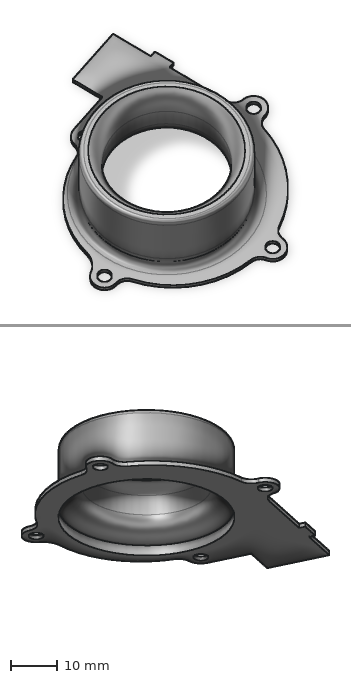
import cadquery as cq
import math

TOTAL_HEIGHT = 17.0
PLATE_THICKNESS = 1.0

VOLUTE_OFFSET = 0.95
VOLUTE_START_RADIUS = 22.6

DUCT_END_X = -34.15
DUCT_BOTTOM_Y = 12.5
TAB_LEFT_X = -24.1
TAB_WIDTH = 5.0
TAB_HEIGHT = 1.5

LUG_CENTER = (1.9, 1.9)
LUG_SPACING_X = 49.95
LUG_SPACING_Y = 54.9
LUG_RADIUS = 3.15
LUG_BLEND_RADIUS = 3.0
BOTTOM_LUG_BLEND_RADIUS = 5.0
TOUCH_TOLERANCE = 0.005
SCREW_HOLE_DIAMETER = 3.2
SCREW_HEAD_CLEARANCE_HEIGHT = 2.6

COLLAR_RADIUS = 38.0 / 2
COLLAR_BASE_FILLET = 2.5
THROAT_RADIUS = 28.0 / 2
FLARE_DEPTH = 5.0
LEDGE_ROUND = 5.0
RIM_ROUND = 1.0
RIM_FLAT = 1.0
INLET_LEDGE_Z = 2.4

lug_x, lug_y = LUG_CENTER
left_lug = (lug_x - LUG_SPACING_X / 2, lug_y)
lug_points = [
    left_lug,
    (lug_x + LUG_SPACING_X / 2, lug_y),
    (lug_x, lug_y - LUG_SPACING_Y / 2),
    (lug_x, lug_y + LUG_SPACING_Y / 2),
]


def on_circle(center, radius, degrees):
    angle = math.radians(degrees)
    return (center[0] + radius * math.cos(angle), center[1] + radius * math.sin(angle))


def make_plate():
    """Flat volute plate with its outlet duct, tab and blended lugs."""
    offset = VOLUTE_OFFSET
    centers = [(offset, -offset), (offset, offset), (-offset, offset)]
    radii = [VOLUTE_START_RADIUS + 2 * offset * turn for turn in range(3)]
    duct_top_y = centers[2][1] + radii[2]
    side_x = left_lug[0] - LUG_RADIUS

    start_angle = 180 - math.degrees(math.asin((lug_y - centers[0][1]) / radii[0]))
    end_angle = math.degrees(math.acos((lug_x - centers[2][0]) / radii[2]))
    outline = (
        cq.Workplane("XY")
        .moveTo(*on_circle(centers[0], radii[0], start_angle))
        .threePointArc(on_circle(centers[0], radii[0], 225), on_circle(centers[0], radii[0], 270))
        .threePointArc(on_circle(centers[1], radii[1], 315), on_circle(centers[1], radii[1], 360))
        .threePointArc(on_circle(centers[2], radii[2], 45), on_circle(centers[2], radii[2], end_angle))
        .lineTo(lug_x, duct_top_y)
        .lineTo(DUCT_END_X, duct_top_y)
        .lineTo(DUCT_END_X, DUCT_BOTTOM_Y)
        .lineTo(side_x, DUCT_BOTTOM_Y)
        .lineTo(side_x, lug_y)
        .close()
    )
    lugs = cq.Workplane("XY").pushPoints(lug_points).circle(LUG_RADIUS).extrude(PLATE_THICKNESS)
    plate = outline.extrude(PLATE_THICKNESS).union(lugs)

    wide_corner = cq.selectors.BoxSelector(
        (lug_x - 2 * LUG_RADIUS, lug_points[2][1], 0), (lug_x, centers[0][1], PLATE_THICKNESS)
    )
    plate = plate.edges("|Z").edges(wide_corner).fillet(BOTTOM_LUG_BLEND_RADIUS)

    def is_lug_corner(edge):
        corner = edge.Center()
        on_lug = any(
            abs(math.hypot(corner.x - x, corner.y - y) - LUG_RADIUS) < TOUCH_TOLERANCE
            for x, y in lug_points
        )
        on_blend = corner.x < lug_x and corner.y < centers[0][1] - LUG_RADIUS
        return on_lug and not on_blend and corner.x > side_x + TOUCH_TOLERANCE

    corners = [edge for edge in plate.edges("|Z").vals() if is_lug_corner(edge)]
    plate = plate.newObject(corners).fillet(LUG_BLEND_RADIUS)

    tab = (
        cq.Workplane("XY")
        .moveTo(TAB_LEFT_X, DUCT_BOTTOM_Y)
        .lineTo(TAB_LEFT_X, duct_top_y + TAB_HEIGHT)
        .lineTo(TAB_LEFT_X + TAB_WIDTH, duct_top_y + TAB_HEIGHT)
        .lineTo(TAB_LEFT_X + TAB_WIDTH, DUCT_BOTTOM_Y)
        .close()
        .extrude(PLATE_THICKNESS)
    )
    return plate.union(tab)


def make_collar():
    """Revolved inlet collar: flared mouth, throat and rounded ledge above a wide base opening."""
    diagonal = math.sqrt(0.5)
    mouth_radius = COLLAR_RADIUS - RIM_ROUND - RIM_FLAT
    flare_width = mouth_radius - THROAT_RADIUS
    throat_top_z = TOTAL_HEIGHT - FLARE_DEPTH
    throat_bottom_z = INLET_LEDGE_Z + LEDGE_ROUND
    ledge_center_r = THROAT_RADIUS + LEDGE_ROUND
    ledge_middle = (ledge_center_r - LEDGE_ROUND * diagonal, throat_bottom_z - LEDGE_ROUND * diagonal)

    flare_radius = (flare_width**2 + FLARE_DEPTH**2) / (2 * flare_width)
    half_flare_angle = math.asin(FLARE_DEPTH / flare_radius) / 2
    flare_middle = (
        THROAT_RADIUS + flare_radius * (1 - math.cos(half_flare_angle)),
        throat_top_z + flare_radius * math.sin(half_flare_angle),
    )

    fillet_center_r = COLLAR_RADIUS + COLLAR_BASE_FILLET
    fillet_top_z = PLATE_THICKNESS + COLLAR_BASE_FILLET
    fillet_middle = (
        fillet_center_r - COLLAR_BASE_FILLET * diagonal,
        fillet_top_z - COLLAR_BASE_FILLET * diagonal,
    )
    rim_center_r = COLLAR_RADIUS - RIM_ROUND
    rim_center_z = TOTAL_HEIGHT - RIM_ROUND
    rim_middle = (rim_center_r + RIM_ROUND * diagonal, rim_center_z + RIM_ROUND * diagonal)
    return (
        cq.Workplane("XZ")
        .moveTo(COLLAR_RADIUS, 0)
        .lineTo(fillet_center_r, 0)
        .lineTo(fillet_center_r, PLATE_THICKNESS)
        .threePointArc(fillet_middle, (COLLAR_RADIUS, fillet_top_z))
        .lineTo(COLLAR_RADIUS, rim_center_z)
        .threePointArc(rim_middle, (rim_center_r, TOTAL_HEIGHT))
        .lineTo(mouth_radius, TOTAL_HEIGHT)
        .threePointArc(flare_middle, (THROAT_RADIUS, throat_top_z))
        .lineTo(THROAT_RADIUS, throat_bottom_z)
        .threePointArc(ledge_middle, (ledge_center_r, INLET_LEDGE_Z))
        .close()
        .revolve(360, (0, 0, 0), (0, 1, 0))
    )


opening = cq.Workplane("XY").circle(COLLAR_RADIUS).extrude(PLATE_THICKNESS)
screw_holes = (
    cq.Workplane("XY").pushPoints(lug_points).circle(SCREW_HOLE_DIAMETER / 2).extrude(PLATE_THICKNESS)
)
screw_head_clearance = (
    cq.Workplane("XY")
    .workplane(offset=PLATE_THICKNESS)
    .center(*left_lug)
    .circle(LUG_RADIUS)
    .extrude(SCREW_HEAD_CLEARANCE_HEIGHT)
)

result = make_plate().cut(opening).union(make_collar()).cut(screw_holes).cut(screw_head_clearance)